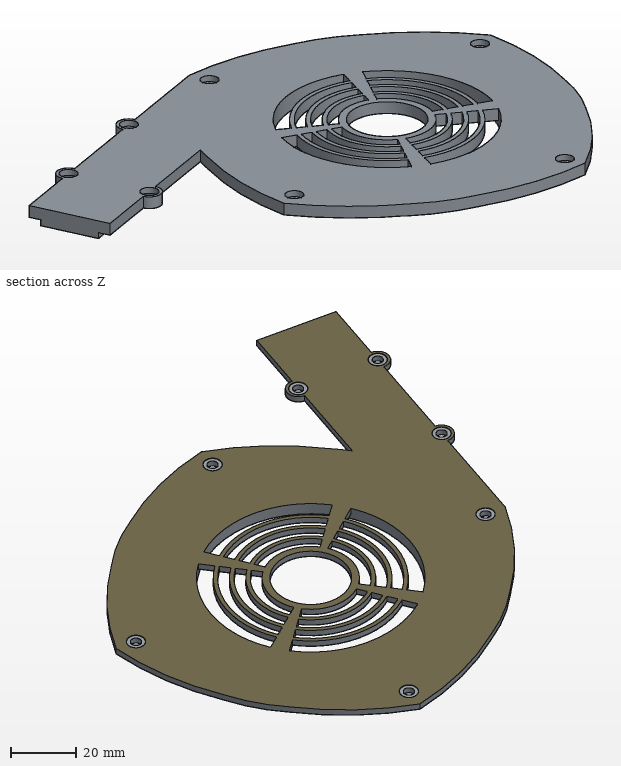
import cadquery as cq
import math

quarter = 90
quarter_turns = range(0, 360, quarter)

lip_height = 2.0
plate_thickness = 4.0
total_height = lip_height + plate_thickness

wall = 4.0
body_radius = 61.5
corner_reach = 68.5
joint_angle = 35.0
flank_bulge = 2.1

arm_width = 28.0
arm_left = -corner_reach
arm_right = arm_left + arm_width
arm_end = -106.14

lip_radius = body_radius - wall
lip_shoulder = -3.5

hub_hole_radius = 12.5
slot_inner_radii = (15.0, 20.0, 25.0)
ring_width = 1.5
ring_pitch = 5.0
grille_radius = 35.0
spoke_angle = 10.0

screw_hole_diameter = 3.4
counterbore_diameter = 5.8
counterbore_depth = 2.0
screw_circle_radius = 61.5
boss_radius = 4.0
boss_rows = (-40.0, -80.0)


def polar(radius, angle):
    """Point at a radius and an angle in degrees about the fan axis."""
    a = math.radians(angle)
    return (radius * math.cos(a), radius * math.sin(a))


def body_outline():
    """Rounded four-cornered outline: each quarter is flank, disc arc, flank."""
    outline = cq.Workplane("XY", origin=(0, 0, lip_height)).moveTo(corner_reach, 0)
    for axis_angle in quarter_turns:
        next_axis = axis_angle + quarter
        outline = (
            outline.sagittaArc(polar(body_radius, axis_angle + joint_angle), -flank_bulge)
            .threePointArc(
                polar(body_radius, axis_angle + quarter / 2),
                polar(body_radius, next_axis - joint_angle),
            )
            .sagittaArc(polar(corner_reach, next_axis), -flank_bulge)
        )
    return outline.close()


def make_plate():
    """Body, outlet arm and screw bosses at the full plate thickness."""
    body = body_outline().extrude(plate_thickness)
    arm = (
        cq.Workplane("XY", origin=(0, 0, lip_height))
        .moveTo(arm_left, 0)
        .lineTo(0, 0)
        .lineTo(arm_right, -math.sqrt(body_radius**2 - arm_right**2))
        .lineTo(arm_right, arm_end)
        .lineTo(arm_left, arm_end)
        .close()
        .extrude(plate_thickness)
    )
    bosses = (
        cq.Workplane("XY", origin=(0, 0, lip_height))
        .pushPoints(boss_points())
        .circle(boss_radius)
        .extrude(plate_thickness)
    )
    return body.union(arm).union(bosses)


def make_lip():
    """Round lip under the disc, running on into a narrower lip under the arm."""
    tongue_y = -math.sqrt(lip_radius**2 - arm_right**2)
    return (
        cq.Workplane("XY")
        .moveTo(-lip_radius, 0)
        .threePointArc((lip_radius, 0), (arm_right, tongue_y))
        .lineTo(arm_right - wall, tongue_y)
        .lineTo(arm_right - wall, arm_end)
        .lineTo(arm_left + wall, arm_end)
        .lineTo(arm_left + wall, lip_shoulder)
        .lineTo(-lip_radius, lip_shoulder)
        .close()
        .extrude(lip_height)
    )


def boss_points():
    """Two bosses on the arm's left edge, and one on its right edge in the lower row."""
    left = [(arm_left, y) for y in boss_rows]
    return left + [(arm_right, boss_rows[-1])]


def cut_grille(part):
    """Hub hole, and ring-shaped slots split into four sectors by the tapered spokes."""
    part = part.cut(cq.Workplane("XY").circle(hub_hole_radius).extrude(total_height))
    half_slot = (quarter - spoke_angle) / 2
    slots = [(r, r + ring_pitch - ring_width) for r in slot_inner_radii]
    slots.append((grille_radius - ring_pitch, grille_radius))
    for inner, outer in slots:
        for middle in quarter_turns:
            start = middle - half_slot
            end = middle + half_slot
            slot = (
                cq.Workplane("XY")
                .moveTo(*polar(inner, start))
                .lineTo(*polar(outer, start))
                .threePointArc(polar(outer, middle), polar(outer, end))
                .lineTo(*polar(inner, end))
                .threePointArc(polar(inner, middle), polar(inner, start))
                .close()
                .extrude(total_height)
            )
            part = part.cut(slot)
    return part


def drill_screw_holes(part):
    """Counterbored holes at the four body corners and through the bosses."""
    corners = [polar(screw_circle_radius, angle) for angle in quarter_turns]
    return (
        part.faces(">Z")
        .workplane(origin=(0, 0, total_height))
        .pushPoints(corners + boss_points())
        .cboreHole(screw_hole_diameter, counterbore_diameter, counterbore_depth)
    )


def recess_underside(part):
    """Relieve the lip below the grille so the grille is only plate-thick."""
    return part.cut(cq.Workplane("XY").circle(grille_radius).extrude(lip_height))


result = make_plate().union(make_lip())
result = recess_underside(result)
result = cut_grille(result)
result = drill_screw_holes(result)